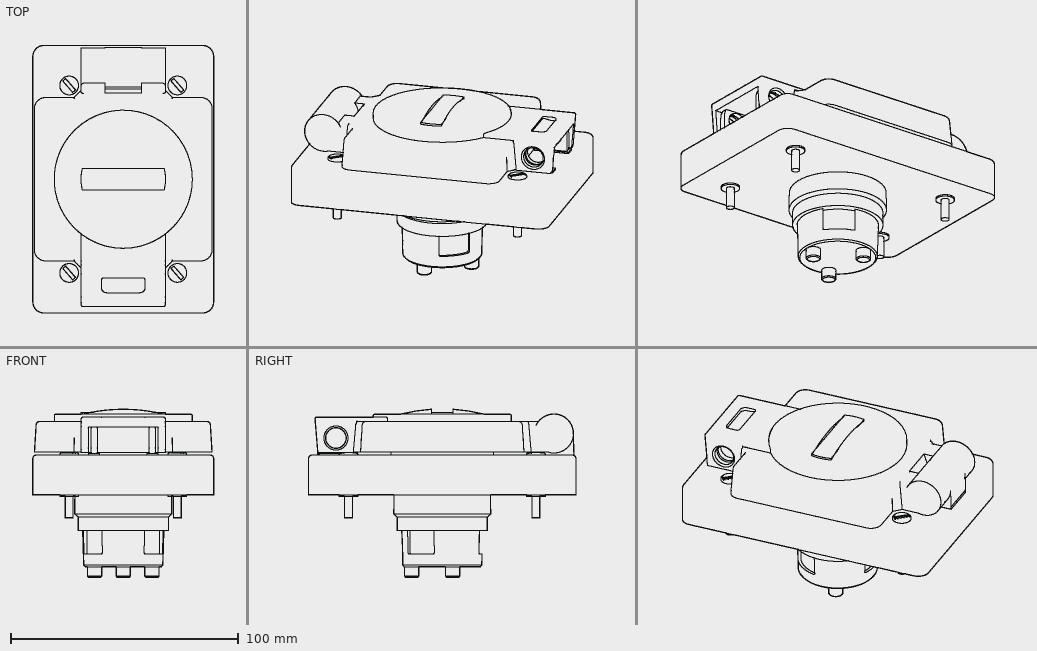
import cadquery as cq
import math

PLATE_X = 79.4
PLATE_Y = 117.5
PLATE_TOP = 17.5
CORNER_RADIUS = 4.9
TOP_ROUND = 1.6

LID_BOTTOM = 18.7
LID_TOP = 32.2
LID_X = 78.0
LID_Y = 71.7
LID_DRAFT = 3.5
SHOULDER_ROOT_HALF = 21.6
SHOULDER_LENGTH = 3.4
GASKET_RADIUS = 22.5
TAB_END = -LID_Y / 2 - SHOULDER_LENGTH

DISC_RADIUS = 30.3
DISC_TOP = 35.4
DISC_ROUND = 0.7
DOME_RADIUS = 18.6
DOME_TOP = 37.7
BAND_WIDTH = 9.4
BAND_TOP = 36.2

BARREL_RADIUS = 8.6
BARREL_Y = 49.0
BARREL_Z = 26.9
BARREL_X = 36.9
KNUCKLE_X = 15.9
FOOT_Y = 57.8
FOOT_END = 37.7
KNUCKLE_SLOT_Y = 37.8
KNUCKLE_SLOT_LEAN = 1.8

LATCH_X = 36.9
LATCH_TOP = 34.1
LATCH_BOTTOM = 18.5
LATCH_END = -55.9
LATCH_END_BOTTOM = -54.6
LATCH_START = -37.6
LATCH_EDGE = 0.8
LATCH_CAVITY_X = 30.5
LATCH_CAVITY_TOP = 29.7

FINGER_X = 19.3
FINGER_BACK = -43.2
FINGER_STEP = -46.5
FINGER_FRONT = -49.8
FINGER_DEPTH = 1.5
FINGER_BACK_DEPTH = 0.8
FINGER_BACK_CORNER = 1.2
FINGER_FRONT_CORNER = 2.3

HOLE_Y = -46.6
HOLE_Z = 24.9
HOLE_RADIUS = 4.5
HOLE_CHAMFER = 0.8
LUG_RADIUS = 7.0
LUG_SHOULDER_Z = 26.1
LUG_INNER = 11.4
LUG_OUTER = 14.1
PAD_MARGIN = 1.0
PAD_START = -37.7
PAD_END = -54.6
PAD_TOP = 18.1

SCREW_X = 23.7
SCREW_Y = 41.1
HEAD_RADIUS = 4.1
HEAD_HEIGHT = 0.9
HEAD_ROUND = 0.8
DRIVER_SLOT_LENGTH = 6.6
DRIVER_SLOT_WIDTH = 1.6
DRIVER_SLOT_DEPTH = 0.5
DRIVER_SLOT_ANGLE = -49
WASHER_RADIUS = 4.1
WASHER_HEIGHT = 0.7
SHANK_RADIUS = 1.8
SHANK_END = -10.1

SLEEVE_TOP_RADIUS = 21.3
SLEEVE_LOW_RADIUS = 21.4
SLEEVE_EDGE = -8.3
COLLAR_RADIUS = 19.9
COLLAR_TOP = -9.8
COLLAR_BOTTOM = -15.7
CORE_TOP_RADIUS = 17.9
CORE_LOW_RADIUS = 17.4
CORE_BOTTOM = -31.6
CORE_CHAMFER = 0.7
WINDOW_WIDTH = 14.1
WINDOW_BOTTOM = -26.0
WINDOW_FLOOR_RADIUS = 16.2
WINDOW_CORNER = 0.8
WINDOW_ANGLES = (90, 215, 325)

PIN_CIRCLE = 13.4
PIN_RADIUS = 3.2
PIN_BOTTOM = -36.2
PIN_CHAMFER = 0.5
PIN_ANGLES = (20, 160, 270)


def cylinder(radius, bottom, top, x=0, y=0):
    return cq.Workplane("XY", origin=(x, y, bottom)).circle(radius).extrude(top - bottom)


def box(x_limits, y_limits, z_limits):
    size = [high - low for low, high in (x_limits, y_limits, z_limits)]
    corner = (x_limits[0], y_limits[0], z_limits[0])
    return cq.Workplane("XY").box(*size, centered=False).translate(corner)


def side_profile(points, width):
    """Symmetric extrusion along X of a closed (y, z) outline."""
    end_plane = cq.Workplane("YZ", origin=(-width / 2, 0, 0))
    return end_plane.polyline(points).close().extrude(width)


def plate():
    body = cq.Workplane("XY").rect(PLATE_X, PLATE_Y).extrude(PLATE_TOP)
    body = body.edges("|Z").fillet(CORNER_RADIUS)
    return body.faces(">Z").edges().fillet(TOP_ROUND)


def lid_outline():
    """Rectangle with a 45-degree shoulder growing out of each end."""
    edge = LID_Y / 2
    shoulder_end = edge + SHOULDER_LENGTH
    end_half = SHOULDER_ROOT_HALF - SHOULDER_LENGTH
    right_half = [
        (end_half, -shoulder_end),
        (SHOULDER_ROOT_HALF, -edge),
        (LID_X / 2, -edge),
        (LID_X / 2, edge),
        (SHOULDER_ROOT_HALF, edge),
        (end_half, shoulder_end),
    ]
    return right_half + [(-x, y) for x, y in reversed(right_half)]


def lid():
    body = cq.Workplane("XY", origin=(0, 0, LID_BOTTOM)).polyline(lid_outline()).close()
    body = body.extrude(LID_TOP - LID_BOTTOM, taper=LID_DRAFT)
    for side in ("<X", ">X"):
        body = body.faces(side).edges("not |Y").fillet(CORNER_RADIUS)
    body = body.union(box((-BARREL_X / 2, BARREL_X / 2), (0, BARREL_Y), (LID_BOTTOM, LID_TOP)))
    body = body.faces(">Z").edges().fillet(TOP_ROUND)
    clearance = side_profile(
        [
            (KNUCKLE_SLOT_Y, LID_TOP),
            (KNUCKLE_SLOT_Y + KNUCKLE_SLOT_LEAN, BARREL_Z),
            (BARREL_Y, BARREL_Z),
            (BARREL_Y, LID_TOP),
        ],
        KNUCKLE_X,
    )
    return body.cut(clearance).union(cylinder(GASKET_RADIUS, PLATE_TOP, LID_BOTTOM))


def disc():
    body = cylinder(DISC_RADIUS, LID_TOP, DISC_TOP)
    return body.faces(">Z").edges().fillet(DISC_ROUND)


def dome():
    """Shallow spherical cap crossed by a low flat band."""
    rise = DOME_TOP - DISC_TOP
    cap = (
        cq.Workplane("XZ")
        .moveTo(0, DISC_TOP)
        .lineTo(DOME_RADIUS, DISC_TOP)
        .radiusArc((0, DOME_TOP), -(DOME_RADIUS**2 + rise**2) / (2 * rise))
        .close()
        .revolve()
    )
    strip = box((-DOME_RADIUS, DOME_RADIUS), (-BAND_WIDTH / 2, BAND_WIDTH / 2), (DISC_TOP, DOME_TOP))
    band = cylinder(DOME_RADIUS, DISC_TOP, BAND_TOP).intersect(strip)
    return cap.cut(strip).union(band)


def hinge():
    barrel_end = cq.Workplane("YZ", origin=(-BARREL_X / 2, BARREL_Y, BARREL_Z))
    barrel = barrel_end.circle(BARREL_RADIUS).extrude(BARREL_X)
    knuckle_leg = side_profile(
        [
            (BARREL_Y + BARREL_RADIUS, BARREL_Z),
            (FOOT_Y, PLATE_TOP),
            (BARREL_Y, PLATE_TOP),
            (BARREL_Y, BARREL_Z),
        ],
        KNUCKLE_X,
    )
    foot = box((-KNUCKLE_X / 2, KNUCKLE_X / 2), (FOOT_END, FOOT_Y), (PLATE_TOP, LID_BOTTOM))
    return barrel.union(knuckle_leg).union(foot)


def finger_slot():
    """Recess with a shallow-sloped back half and a flat front half."""
    floor = LATCH_TOP - FINGER_DEPTH
    profile = side_profile(
        [
            (FINGER_BACK, LATCH_TOP),
            (FINGER_BACK, LATCH_TOP - FINGER_BACK_DEPTH),
            (FINGER_STEP, floor),
            (FINGER_FRONT, floor),
            (FINGER_FRONT, LATCH_TOP),
        ],
        FINGER_X,
    )
    half_x = FINGER_X / 2
    outline = box((-half_x, half_x), (FINGER_FRONT, FINGER_BACK), (floor, LATCH_TOP))
    outline = outline.edges("|Z and >Y").fillet(FINGER_BACK_CORNER)
    outline = outline.edges("|Z and <Y").fillet(FINGER_FRONT_CORNER)
    return profile.intersect(outline)


def latch():
    shell = side_profile(
        [
            (LATCH_START, LATCH_BOTTOM),
            (LATCH_START, LID_TOP),
            (0, LID_TOP),
            (0, LATCH_TOP),
            (LATCH_END, LATCH_TOP),
            (LATCH_END_BOTTOM, LATCH_BOTTOM),
        ],
        LATCH_X,
    )
    shell = shell.faces("<Y").edges("not |X").fillet(LATCH_EDGE)
    shell = shell.faces(">Z").edges("not >Y").fillet(LATCH_EDGE)
    half_cavity = LATCH_CAVITY_X / 2
    cavity = box(
        (-half_cavity, half_cavity), (LATCH_END, TAB_END), (LATCH_BOTTOM, LATCH_CAVITY_TOP)
    )
    return shell.cut(cavity).cut(finger_slot())


def lug(side):
    """Round-topped staple lug with a wider pad under it."""
    inner, outer = sorted((side * LUG_INNER, side * LUG_OUTER))
    upright = (
        cq.Workplane("YZ", origin=(inner, 0, 0))
        .moveTo(HOLE_Y - LUG_RADIUS, PLATE_TOP)
        .lineTo(HOLE_Y - LUG_RADIUS, LUG_SHOULDER_Z)
        .threePointArc((HOLE_Y, LUG_SHOULDER_Z + LUG_RADIUS), (HOLE_Y + LUG_RADIUS, LUG_SHOULDER_Z))
        .lineTo(HOLE_Y + LUG_RADIUS, PLATE_TOP)
        .close()
        .extrude(outer - inner)
    )
    pad = box(
        (inner - PAD_MARGIN, outer + PAD_MARGIN), (PAD_END, PAD_START), (PLATE_TOP, PAD_TOP)
    )
    return upright.union(pad)


def padlock_hole():
    axis = cq.Workplane("YZ").center(HOLE_Y, HOLE_Z)
    bore = axis.circle(HOLE_RADIUS).extrude(LATCH_X / 2, both=True)
    for side in (-1, 1):
        mouth = (
            cq.Workplane("YZ", origin=(side * LATCH_X / 2, HOLE_Y, HOLE_Z))
            .circle(HOLE_RADIUS + HOLE_CHAMFER)
            .workplane(offset=-side * HOLE_CHAMFER)
            .circle(HOLE_RADIUS)
            .loft()
        )
        bore = bore.union(mouth)
    return bore


def screw(x, y):
    head_top = PLATE_TOP + HEAD_HEIGHT
    head = cylinder(HEAD_RADIUS, PLATE_TOP, head_top, x, y).faces(">Z").edges().fillet(HEAD_ROUND)
    driver_slot = (
        cq.Workplane("XY", origin=(x, y, head_top))
        .transformed(rotate=(0, 0, DRIVER_SLOT_ANGLE))
        .rect(DRIVER_SLOT_LENGTH, DRIVER_SLOT_WIDTH)
        .extrude(-DRIVER_SLOT_DEPTH)
    )
    washer = cylinder(WASHER_RADIUS, -WASHER_HEIGHT, 0, x, y)
    shank = cylinder(SHANK_RADIUS, SHANK_END, 0, x, y)
    return head.cut(driver_slot), washer.union(shank)


def window(angle):
    """Shallow recess in the side of the socket core, below the collar."""
    block = box(
        (0, SLEEVE_LOW_RADIUS), (-WINDOW_WIDTH / 2, WINDOW_WIDTH / 2), (WINDOW_BOTTOM, COLLAR_BOTTOM)
    )
    block = block.edges("|X and <Z").fillet(WINDOW_CORNER)
    block = block.cut(cylinder(WINDOW_FLOOR_RADIUS, WINDOW_BOTTOM, COLLAR_BOTTOM))
    return block.rotate((0, 0, 0), (0, 0, 1), angle)


def socket():
    profile = [
        (0, 0),
        (SLEEVE_TOP_RADIUS, 0),
        (SLEEVE_LOW_RADIUS, SLEEVE_EDGE),
        (COLLAR_RADIUS, COLLAR_TOP),
        (COLLAR_RADIUS, COLLAR_BOTTOM),
        (CORE_TOP_RADIUS, COLLAR_BOTTOM),
        (CORE_LOW_RADIUS, CORE_BOTTOM + CORE_CHAMFER),
        (CORE_LOW_RADIUS - CORE_CHAMFER, CORE_BOTTOM),
        (0, CORE_BOTTOM),
    ]
    body = cq.Workplane("XZ").polyline(profile).close().revolve()
    for angle in WINDOW_ANGLES:
        body = body.cut(window(angle))
    for angle in PIN_ANGLES:
        x = PIN_CIRCLE * math.cos(math.radians(angle))
        y = PIN_CIRCLE * math.sin(math.radians(angle))
        pin = cylinder(PIN_RADIUS, PIN_BOTTOM, CORE_BOTTOM, x, y)
        body = body.union(pin.faces("<Z").edges().chamfer(PIN_CHAMFER))
    return body


result = plate().union(lid()).union(hinge()).union(latch()).union(disc()).union(dome())
for lug_side in (-1, 1):
    result = result.union(lug(lug_side))
result = result.cut(padlock_hole())
for screw_x in (-SCREW_X, SCREW_X):
    for screw_y in (-SCREW_Y, SCREW_Y):
        for piece in screw(screw_x, screw_y):
            result = result.union(piece)
result = result.union(socket())